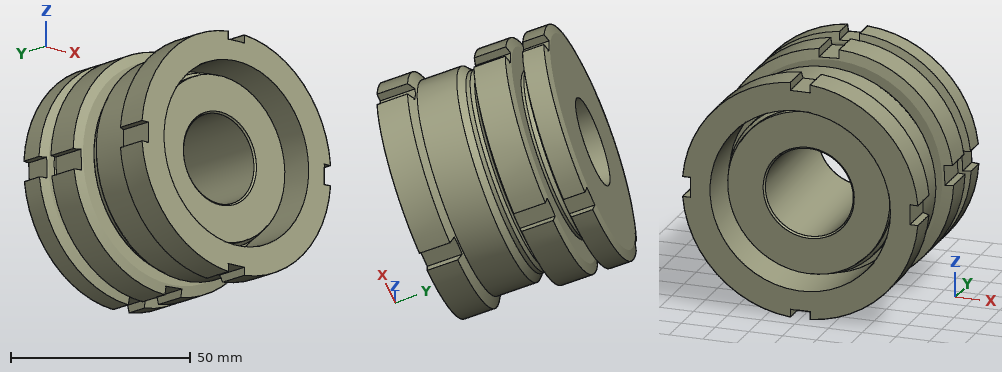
import cadquery as cq
OUTER_RADIUS = 35.0
THREAD_RADIUS = 25.0
TOTAL_LENGTH = 50.9

SLOT_COUNT = 4
SLOT_WIDTH = 5.9
SLOT_FLOOR_RADIUS = 32.55

BEVEL_LENGTH = 0.8
BEVEL_DEPTH = 3.0

SLEEVE_LENGTH = 27.0
SLEEVE_BODY_RADIUS = 32.0
SLEEVE_NECK_RADIUS = 30.0
SLEEVE_FLANGE_LENGTH = 9.2
SLEEVE_FLANGE_CONE_LENGTH = 1.75
SLEEVE_NECK_LENGTH = 2.25
SLEEVE_END_CHAMFER = 1.0
RECESS_RADIUS = 26.7
RECESS_DEPTH = 16.0

NUT_START = 28.35
NUT_WIDTH = 11.0
NUT_TURN = 3.1

SPINDLE_START = 7.0
SPINDLE_FLANGE_WIDTH = 8.0
SPINDLE_TURN = 1.7
PILOT_RADIUS = 24.0
PILOT_LENGTH = 2.0
FACE_RECESS_RADIUS = 30.0
FACE_RECESS_DEPTH = 0.5
UNDERCUT_RADIUS = 23.85
UNDERCUT_LENGTH = 1.6
UNDERCUT_FILLET = 0.8
SELECTION_MARGIN = 0.1
BORE_RADIUS = 13.0
BORE_CHAMFER = 0.5


def revolve_about_y(points):
    """Turn a closed outline of (radius, Y) points once around the Y axis."""
    return cq.Workplane("XY").polyline(points).close().revolve(360, (0, 0), (0, 1))


def cut_spanner_slots(body, start, width):
    """Cut the four slots into the flange that starts at Y = start."""
    slot_depth = OUTER_RADIUS - SLOT_FLOOR_RADIUS
    for index in range(SLOT_COUNT):
        slot = (
            cq.Workplane("XY")
            .box(SLOT_WIDTH, width, 2 * slot_depth, centered=(True, False, False))
            .translate((0, start, SLOT_FLOOR_RADIUS))
            .rotate((0, 0, 0), (0, 1, 0), index * 360 / SLOT_COUNT)
        )
        body = body.cut(slot)
    return body


def bevelled_rim(start, width):
    """Outline points of a flange rim with both edges bevelled, from low Y to high Y."""
    face_radius = OUTER_RADIUS - BEVEL_DEPTH
    end = start + width
    return [
        (face_radius, start),
        (OUTER_RADIUS, start + BEVEL_LENGTH),
        (OUTER_RADIUS, end - BEVEL_LENGTH),
        (face_radius, end),
    ]


def turn(body, angle):
    """Turn a body about Y; a positive angle moves its top towards -X."""
    return body.rotate((0, 0, 0), (0, 1, 0), -angle)


def make_sleeve():
    """Flanged sleeve, threaded through, with a recess at its open end."""
    flange_end = SLEEVE_FLANGE_LENGTH + SLEEVE_FLANGE_CONE_LENGTH
    neck_start = SLEEVE_LENGTH - SLEEVE_NECK_LENGTH
    shoulder = SLEEVE_BODY_RADIUS - SLEEVE_NECK_RADIUS
    sleeve = revolve_about_y([
        (RECESS_RADIUS, 0),
        (OUTER_RADIUS, 0),
        (OUTER_RADIUS, SLEEVE_FLANGE_LENGTH),
        (SLEEVE_BODY_RADIUS, flange_end),
        (SLEEVE_BODY_RADIUS, neck_start - shoulder),
        (SLEEVE_NECK_RADIUS, neck_start),
        (SLEEVE_NECK_RADIUS, SLEEVE_LENGTH - SLEEVE_END_CHAMFER),
        (SLEEVE_NECK_RADIUS - SLEEVE_END_CHAMFER, SLEEVE_LENGTH),
        (THREAD_RADIUS, SLEEVE_LENGTH),
        (THREAD_RADIUS, RECESS_DEPTH),
        (RECESS_RADIUS, RECESS_DEPTH),
    ])
    return cut_spanner_slots(sleeve, 0, flange_end)


def make_lock_nut():
    """Slotted ring nut on the spindle thread."""
    rim = bevelled_rim(NUT_START, NUT_WIDTH)
    bore = [(THREAD_RADIUS, NUT_START + NUT_WIDTH), (THREAD_RADIUS, NUT_START)]
    nut = cut_spanner_slots(revolve_about_y(rim + bore), NUT_START, NUT_WIDTH)
    return turn(nut, NUT_TURN)


def make_spindle():
    """Hollow threaded spindle with a slotted flange at its far end."""
    flange_start = TOTAL_LENGTH - SPINDLE_FLANGE_WIDTH
    undercut_start = flange_start - UNDERCUT_LENGTH
    lead_in = THREAD_RADIUS - PILOT_RADIUS
    thread_start = SPINDLE_START + PILOT_LENGTH + lead_in
    runout = THREAD_RADIUS - UNDERCUT_RADIUS
    shank = [
        (BORE_RADIUS, SPINDLE_START + BORE_CHAMFER),
        (BORE_RADIUS + BORE_CHAMFER, SPINDLE_START),
        (PILOT_RADIUS, SPINDLE_START),
        (PILOT_RADIUS, thread_start - lead_in),
        (THREAD_RADIUS, thread_start),
        (THREAD_RADIUS, undercut_start - runout),
        (UNDERCUT_RADIUS, undercut_start),
        (UNDERCUT_RADIUS, flange_start + FACE_RECESS_DEPTH),
        (FACE_RECESS_RADIUS, flange_start + FACE_RECESS_DEPTH),
        (FACE_RECESS_RADIUS, flange_start),
    ]
    rim = bevelled_rim(flange_start, SPINDLE_FLANGE_WIDTH)
    bore_end = [(BORE_RADIUS, TOTAL_LENGTH)]
    spindle = revolve_about_y(shank + rim + bore_end)
    undercut_corner = cq.selectors.BoxSelector(
        (-OUTER_RADIUS, undercut_start - SELECTION_MARGIN, -OUTER_RADIUS),
        (OUTER_RADIUS, undercut_start + SELECTION_MARGIN, OUTER_RADIUS),
        boundingbox=True,
    )
    spindle = spindle.edges(undercut_corner).fillet(UNDERCUT_FILLET)
    spindle = cut_spanner_slots(spindle, flange_start, SPINDLE_FLANGE_WIDTH)
    return turn(spindle, SPINDLE_TURN)


sleeve = make_sleeve()
lock_nut = make_lock_nut()
spindle = make_spindle()

result = cq.Compound.makeCompound([sleeve.val(), lock_nut.val(), spindle.val()])